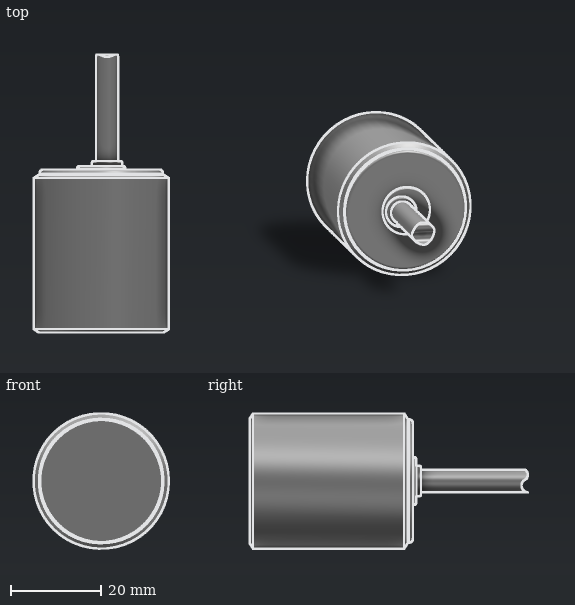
import cadquery as cq

clearance = 0.1

housing_diameter = 30.0
housing_length = 35.0
bore_diameter = 27.2
rim_chamfer_length = 0.8
rim_chamfer_depth = 1.2

core_diameter = bore_diameter - 2 * clearance
core_recess = 0.1

cap_gap = 0.18
cap_diameter = 27.4
cap_height = 0.99
cap_fillet = 0.95

flange_diameter = 10.7
flange_height = 0.64
flange_fillet = 0.6
cable_offset = 1.3
sleeve_diameter = 6.8
sleeve_height = 1.08
sleeve_fillet = 0.45
cable_diameter = 5.0
cable_end = 61.6

crest_height = 1.5
crest_edge_drop = 0.6
wave_middle_height = 0.2
wave_middle_drop = 0.75
trough_height = -1.0
trough_drop = 1.4

cap_front = housing_length + cap_gap
cap_rear = cap_front + cap_height
flange_front = cap_rear + clearance
flange_rear = flange_front + flange_height
sleeve_rear = flange_rear + sleeve_height


def cylinder_along_y(diameter, start, end, x=0.0):
    """Solid cylinder parallel to Y from y = start to y = end."""
    plane = cq.Plane(origin=(x, start, 0), xDir=(1, 0, 0), normal=(0, 1, 0))
    return cq.Workplane(plane).circle(diameter / 2).extrude(end - start)


def round_rear_edge(body, radius):
    return body.faces(">Y").edges().fillet(radius)


def make_housing():
    outer_radius = housing_diameter / 2
    bore_radius = bore_diameter / 2
    rim_radius = outer_radius - rim_chamfer_depth
    half_section = [
        (bore_radius, 0),
        (rim_radius, 0),
        (outer_radius, rim_chamfer_length),
        (outer_radius, housing_length - rim_chamfer_length),
        (rim_radius, housing_length),
        (bore_radius, housing_length),
    ]
    return cq.Workplane("XY").polyline(half_section).close().revolve(360, (0, 0, 0), (0, 1, 0))


def make_core():
    return cylinder_along_y(core_diameter, core_recess, housing_length)


def make_cap():
    return round_rear_edge(cylinder_along_y(cap_diameter, cap_front, cap_rear), cap_fillet)


def make_cable_run():
    """Cable behind the flange, its far end cut along a wave in the YZ plane."""
    radius = cable_diameter / 2
    side_outline = (
        cq.Workplane("YZ", origin=(cable_offset, 0, 0))
        .moveTo(flange_rear, radius)
        .lineTo(cable_end - crest_edge_drop, radius)
        .threePointArc((cable_end, crest_height), (cable_end - wave_middle_drop, wave_middle_height))
        .threePointArc((cable_end - trough_drop, trough_height), (cable_end, -radius))
        .lineTo(flange_rear, -radius)
        .close()
        .extrude(radius, both=True)
    )
    return cylinder_along_y(cable_diameter, flange_rear, cable_end, cable_offset).intersect(side_outline)


def make_cable_gland():
    """Flange, sleeve and cable as one moulded body."""
    flange = round_rear_edge(cylinder_along_y(flange_diameter, flange_front, flange_rear), flange_fillet)
    sleeve = cylinder_along_y(sleeve_diameter, flange_rear, sleeve_rear, cable_offset)
    sleeve = round_rear_edge(sleeve, sleeve_fillet)
    return flange.union(sleeve).union(make_cable_run())


housing = make_housing()
core = make_core()
cap = make_cap()
cable_gland = make_cable_gland()

bodies = [housing, core, cap, cable_gland]
result = cq.Compound.makeCompound([body.solids().val() for body in bodies])